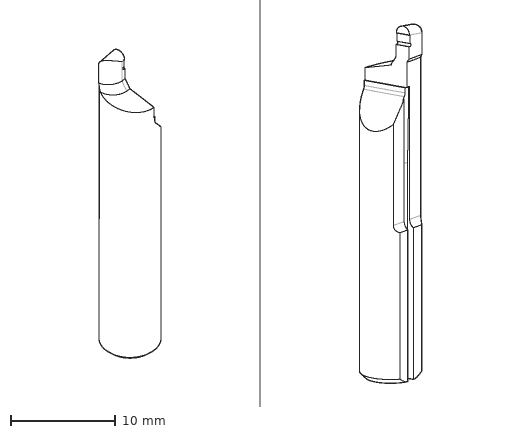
import cadquery as cq

length = 35.0
diameter = 6.0
radius = diameter / 2
width_over_flat = 5.35
shank_flat_x = radius - width_over_flat
end_chamfer = 0.52

relief_x = -1.92
relief_bottom_z = 15.05
runout_radius = 0.88

blade_face_y = 0.05
ledge_y = 0.18
ledge_z = 28.98
bevel_top_z = 28.28
bevel_bottom_z = 25.02
bevel_blend_radius = 0.52

slot_min_y = -0.42
slot_max_y = 0.5
slot_floor_x = -1.68
slot_end_x = -1.82
slot_ramp_z = 21.45

body_top_left_z = 31.4
body_top_right_z = 30.2

head_left_x = -2.17
head_width = 1.55
head_right_x = head_left_x + head_width
head_depth = 2.15
nose_radius = head_width / 2
nose_center_x = head_left_x + nose_radius
nose_slope = 0.11
head_bottom_z = 31.85
neck_bottom_z = 30.8
neck_flare = 0.7
clearance_flare_ratio = 1.4
clearance_mid_ratio = 0.5
clearance_start_y = -0.45
clearance_sag = 0.2
foot_width = 0.1
clearance_mid_y = -1.2
undercut_bottom_z = 31.5

tip_y = -0.05
rake_y = -0.15
groove_y = -0.28
groove_bottom_z = 33.08
lip_bottom_z = 34.2

margin = 1.75
reach = radius + margin


def prism_along_y(sketch, y_min, y_max):
    """Extrude an XZ sketch between two Y positions."""
    return sketch.extrude(y_max - y_min).translate((0, y_max, 0))


def prism_along_x(points):
    """Extrude a YZ outline across the whole width of the part."""
    return cq.Workplane("YZ").polyline(points).close().extrude(reach, both=True)


def make_body():
    rod = cq.Workplane("XY").circle(radius).extrude(length)
    rod = rod.faces("<Z").chamfer(end_chamfer)

    runout_center_x = relief_x - runout_radius
    runout_rise = (runout_radius**2 - (shank_flat_x - runout_center_x) ** 2) ** 0.5
    relief_start_z = relief_bottom_z + runout_rise
    mid_x = (shank_flat_x + relief_x) / 2
    mid_z = relief_start_z - (runout_radius**2 - (mid_x - runout_center_x) ** 2) ** 0.5
    side_profile = (
        cq.Workplane("XZ")
        .moveTo(shank_flat_x, 0)
        .lineTo(shank_flat_x, relief_bottom_z)
        .threePointArc((mid_x, mid_z), (relief_x, relief_start_z))
        .lineTo(relief_x, body_top_left_z)
        .lineTo(radius, body_top_right_z)
        .lineTo(radius, 0)
        .close()
    )
    return rod.intersect(prism_along_y(side_profile, -reach, reach))


def make_bevel_cut():
    bevel_slope = (bevel_top_z - bevel_bottom_z) / (radius - ledge_y)
    cutter = prism_along_x(
        [
            (blade_face_y, length),
            (blade_face_y, ledge_z),
            (ledge_y, ledge_z),
            (ledge_y, bevel_top_z),
            (reach, bevel_top_z - bevel_slope * (reach - ledge_y)),
            (reach, length),
        ]
    )
    corner = cq.selectors.NearestToPointSelector((0, ledge_y, bevel_top_z))
    return cutter.edges(corner).fillet(bevel_blend_radius)


def make_slot_cut():
    profile = cq.Workplane("XZ").polyline(
        [
            (-reach, 0),
            (slot_floor_x, 0),
            (slot_floor_x, slot_ramp_z),
            (slot_end_x, ledge_z),
            (-reach, ledge_z),
        ]
    ).close()
    return prism_along_y(profile, slot_min_y, slot_max_y)


def clearance_wire(z, flare):
    """Head section with a straight left side and a curved clearance side."""
    right_x = head_right_x + flare
    mid_y = clearance_mid_y - clearance_mid_ratio * flare
    front_y = -head_depth - clearance_flare_ratio * flare
    return (
        cq.Workplane("XY", origin=(0, 0, z))
        .moveTo(head_left_x, blade_face_y)
        .lineTo(right_x, blade_face_y)
        .lineTo(right_x, clearance_start_y)
        .threePointArc((right_x - clearance_sag, mid_y), (head_left_x + foot_width + flare, front_y))
        .lineTo(head_left_x, front_y)
        .close()
        .val()
    )


def nose_wire(y, top_z):
    """Round-ended outline of the head, standing on the neck."""
    shoulder_z = top_z - nose_radius
    return (
        cq.Workplane("XZ", origin=(0, y, 0))
        .moveTo(head_left_x, head_bottom_z)
        .lineTo(head_left_x, shoulder_z)
        .threePointArc((nose_center_x, top_z), (head_right_x, shoulder_z))
        .lineTo(head_right_x, head_bottom_z)
        .close()
        .val()
    )


def loft(first_wire, second_wire):
    """Straight-sided solid between two outlines."""
    ruled = True
    return cq.Workplane(cq.Solid.makeLoft([first_wire, second_wire], ruled))


def make_head():
    column = cq.Workplane(clearance_wire(head_bottom_z, 0)).toPending().extrude(length - head_bottom_z)
    back_rise = nose_slope * (blade_face_y - tip_y)
    front_drop = nose_slope * (tip_y + radius)
    nose = loft(nose_wire(blade_face_y, length + back_rise), nose_wire(-radius, length - front_drop))
    neck = loft(clearance_wire(neck_bottom_z, neck_flare), clearance_wire(head_bottom_z, 0))
    undercut = prism_along_y(
        cq.Workplane("XZ").polyline(
            [
                (head_left_x, head_bottom_z),
                (relief_x, undercut_bottom_z),
                (relief_x, neck_bottom_z),
                (head_left_x, neck_bottom_z),
            ]
        ).close(),
        -reach,
        reach,
    )
    rod_envelope = cq.Workplane("XY").circle(radius).extrude(length)
    return column.intersect(nose).union(neck.cut(undercut).intersect(rod_envelope))


def make_rake_cut():
    """Sharp lip at the tip, with a rounded chip groove behind it."""
    groove_radius = rake_y - groove_y
    groove_center_z = groove_bottom_z + groove_radius
    profile = (
        cq.Workplane("YZ")
        .moveTo(reach, length)
        .lineTo(tip_y, length)
        .lineTo(tip_y, lip_bottom_z)
        .lineTo(rake_y, lip_bottom_z)
        .lineTo(rake_y, groove_center_z + groove_radius)
        .threePointArc((groove_y, groove_center_z), (rake_y, groove_bottom_z))
        .lineTo(reach, groove_bottom_z)
        .close()
    )
    return profile.extrude(reach, both=True)


result = make_body().cut(make_bevel_cut()).cut(make_slot_cut()).union(make_head()).cut(make_rake_cut())